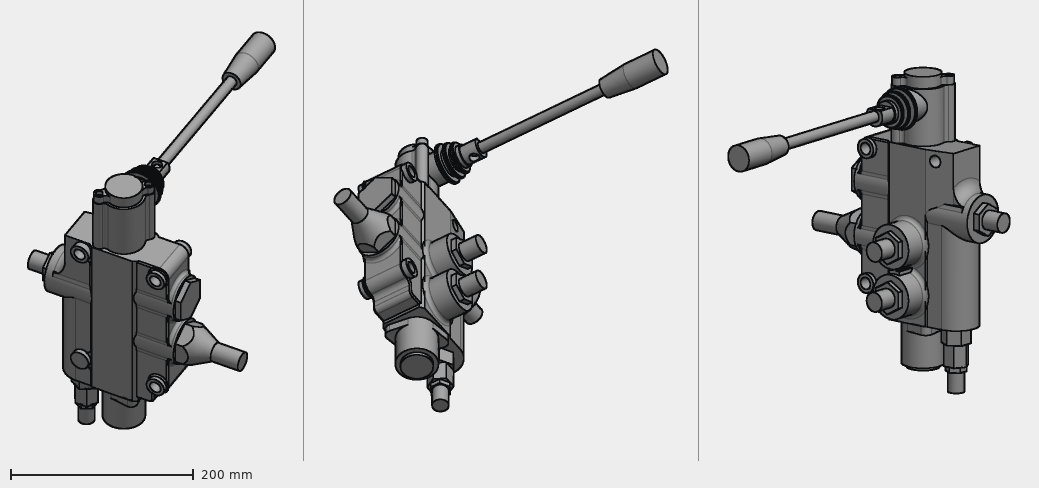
import cadquery as cq
import math


BODY_TOP = 201.0
PANEL_HALF_WIDTH = 25.5
PANEL_HALF_DEPTH = 27.2
PANEL_LEFT_SLOPE_WIDTH = 4.2
PANEL_RIGHT_SLOPE_WIDTH = 5.3

RIGHT_WING_X = 68.3
RIGHT_WING_BOTTOM = 4.5
RIGHT_WING_HALF_DEPTH = 24.8
RIGHT_WING_CHAMFER = 1.8
NOTCH_RADIUS = 6.5

LEFT_WING_X = -61.0
LEFT_WING_FRONT = -23.7
LEFT_WING_BACK = 22.0

RELIEF_X = -46.7
RELIEF_RADIUS = 26.0

LUG_RIGHT_X = 56.5
LUG_LEFT_X = -38.0
LUG_TOP_Z = 189.0
LUG_BOTTOM_Z = 36.5
LUG_RADIUS = 11.0
LUG_CORNER_RADIUS = RIGHT_WING_X - LUG_RIGHT_X
LUG_FLARE_RADIUS = 12.7
LUG_FLARE_HEIGHT = 2.0
LUG_FRONT = -32.2
LUG_BACK = 30.5
LUG_HOLE_RADIUS = 6.7
GUSSET_FRONT = -26.5
GUSSET_REACH = 17.7
GUSSET_SAG = 1.5

LEFT_PORT_Z = 126.5
LEFT_PORT_RADIUS = 27.2
LEFT_PORT_FACE = -84.5
LEFT_PORT_COLLAR = 9.2
LEFT_FAIRING_RADIUS = 14.5
LEFT_RIB_HALF_WIDTH = 10.5
LEFT_RIB_BASE_HALF_WIDTH = 15.5
UPPER_RIGHT_PORT_Z = 148.2
LOWER_RIGHT_PORT_Z = 86.3
RIGHT_PORT_RADIUS = 26.5
RIGHT_PORT_FACE = 76.0
RIGHT_PORT_FLARE = 4.2
RIGHT_RIB_HALF_WIDTH = 9.2
RIGHT_RIB_BASE_HALF_WIDTH = 13.0
PIPE_RADIUS = 11.0
LEFT_PIPE_END = -114.0
LEFT_NUT_CORNER_RADIUS = 18.5
LEFT_NUT_HEIGHT = 7.8
RIGHT_PIPE_END = 148.0
RIGHT_NUT_CORNER_RADIUS = 25.5
PLUG_HEIGHT = 7.0
CONE_START = 85.3
CONE_END = 114.0

WORK_PORT_HEIGHTS = (35.5, 92.0)
WORK_PORT_RADIUS = 25.0
WORK_PORT_FACE = 56.0
WORK_PORT_FLARE = 5.0
WORK_NUT_CORNER_RADIUS = 18.5
WORK_NUT_HEIGHT = 6.5
WORK_PIPE_END = 84.5
WEB_WIDTH = 5.0
WEB_FOOT_WIDTH = 14.0
WEB_FOOT_TOP = 64.0
WEB_BACK = 50.0

HOUSING_TOP = 265.5
HOUSING_RADIUS = 23.7
LOBE_OFFSET = 19.8
LOBE_RADIUS = 7.0
LOBE_FILLET = 5.3
SCREW_HEAD_RADIUS = 6.5
SCREW_HEAD_TOP = 275.0
SCREW_SOCKET_RADIUS = 4.0
SCREW_SOCKET_DEPTH = 5.3
CAP_RADIUS = 20.5
CAP_TOP = 278.8

LEVER_Z = 245.5
BOSS_RADIUS = 18.5
BOSS_END = 36.0
BOOT_NECK_RADIUS = 13.0
BOOT_END = 63.7
BOOT_CORE_RADIUS = 17.5
BOOT_RINGS = ((40.0, 23.7), (48.8, 21.2), (56.5, 18.5))
BOOT_RING_THICKNESS = 4.2
BOOT_RING_RIM = 2.0
SOCKET_RADIUS = 11.3
SOCKET_END = 84.2
SOCKET_FLAT_HEIGHT = 7.5
SOCKET_HOLE_Y = 75.7
SOCKET_HOLE_RADIUS = 5.5
BALL_RADIUS = 6.0
ROD_RADIUS = 6.5
HANDLE_START = 246.5
HANDLE_SHOULDER = 280.2
HANDLE_END = 319.5
HANDLE_START_RADIUS = 11.3
HANDLE_RADIUS = 15.0

FLANGE_HEIGHT = 10.3
BOTTOM_CAP_RADIUS = 23.7
BOTTOM_CAP_END = -50.2
BOTTOM_DISC_RADIUS = 18.0
BOTTOM_DISC_END = -54.5

CARTRIDGE_CORNER_RADIUS = 16.5
CARTRIDGE_END = -19.8
LOCKNUT_CORNER_RADIUS = 14.5
LOCKNUT_END = -45.3
SMALL_NUT_CORNER_RADIUS = 12.0
SMALL_NUT_END = -51.5
STEM_RADIUS = 9.2
STEM_END = -75.0


def round_bar_x(radius, x_start, x_end, z):
    return cq.Workplane("YZ", origin=(x_start, 0, z)).circle(radius).extrude(x_end - x_start)


def round_bar_y(radius, y_start, y_end, x, z):
    length = y_end - y_start
    return cq.Workplane("XZ", origin=(x, y_start, z)).circle(radius).extrude(-length)


def round_bar_z(radius, z_start, z_end, x=0, y=0):
    return cq.Workplane("XY", origin=(x, y, z_start)).circle(radius).extrude(z_end - z_start)


def hexagon(corner_radius, first_angle):
    """Corner points of a hexagon whose first corner lies at first_angle degrees."""
    angles = [math.radians(first_angle + 60 * i) for i in range(6)]
    return [(corner_radius * math.cos(a), corner_radius * math.sin(a)) for a in angles]


def hex_bar_x(corner_radius, x_start, x_end, z):
    plane = cq.Workplane("YZ", origin=(x_start, 0, z))
    return plane.polyline(hexagon(corner_radius, 90)).close().extrude(x_end - x_start)


def hex_bar_z(corner_radius, z_start, z_end, first_angle):
    plane = cq.Workplane("XY", origin=(RELIEF_X, 0, z_start))
    return plane.polyline(hexagon(corner_radius, first_angle)).close().extrude(z_end - z_start)


def make_panel():
    """Raised central block with sloped flanks on the front and the back."""
    left_foot = -PANEL_HALF_WIDTH - PANEL_LEFT_SLOPE_WIDTH
    right_foot = PANEL_HALF_WIDTH + PANEL_RIGHT_SLOPE_WIDTH
    inner_depth = min(-LEFT_WING_FRONT, RIGHT_WING_HALF_DEPTH)
    outline = [
        (-PANEL_HALF_WIDTH, -PANEL_HALF_DEPTH),
        (PANEL_HALF_WIDTH, -PANEL_HALF_DEPTH),
        (right_foot, -inner_depth),
        (right_foot, inner_depth),
        (PANEL_HALF_WIDTH, PANEL_HALF_DEPTH),
        (-PANEL_HALF_WIDTH, PANEL_HALF_DEPTH),
        (left_foot, inner_depth),
        (left_foot, -inner_depth),
    ]
    return cq.Workplane("XY").polyline(outline).close().extrude(BODY_TOP)


def make_right_wing():
    """Plate with rounded lug corners and a notched lower corner."""
    notch_x = LUG_RIGHT_X - NOTCH_RADIUS
    half_diagonal = LUG_CORNER_RADIUS * math.sqrt(0.5)
    lug_bottom = LUG_BOTTOM_Z - LUG_CORNER_RADIUS
    notch_top = lug_bottom - NOTCH_RADIUS
    foot_x = notch_x - NOTCH_RADIUS
    foot_z = RIGHT_WING_BOTTOM + NOTCH_RADIUS
    arc_inset = NOTCH_RADIUS * (1 - math.sqrt(0.5))
    wing = (
        cq.Workplane("XZ", origin=(0, RIGHT_WING_HALF_DEPTH, 0))
        .moveTo(0, BODY_TOP)
        .lineTo(LUG_RIGHT_X, BODY_TOP)
        .threePointArc(
            (LUG_RIGHT_X + half_diagonal, BODY_TOP - LUG_CORNER_RADIUS + half_diagonal),
            (RIGHT_WING_X, BODY_TOP - LUG_CORNER_RADIUS),
        )
        .lineTo(RIGHT_WING_X, LUG_BOTTOM_Z)
        .threePointArc(
            (LUG_RIGHT_X + half_diagonal, LUG_BOTTOM_Z - half_diagonal),
            (LUG_RIGHT_X, lug_bottom),
        )
        .threePointArc((notch_x + arc_inset, lug_bottom - arc_inset), (notch_x, notch_top))
        .lineTo(notch_x, foot_z)
        .threePointArc(
            (notch_x - arc_inset, RIGHT_WING_BOTTOM + arc_inset),
            (foot_x, RIGHT_WING_BOTTOM),
        )
        .lineTo(0, RIGHT_WING_BOTTOM)
        .close()
        .extrude(2 * RIGHT_WING_HALF_DEPTH)
    )
    return wing.faces("<Y or >Y").chamfer(RIGHT_WING_CHAMFER)


def make_left_wing():
    """Upper left block whose back face slopes down from the panel."""
    outline = [
        (0, LEFT_WING_FRONT),
        (LEFT_WING_X, LEFT_WING_FRONT),
        (LEFT_WING_X, LEFT_WING_BACK),
        (-PANEL_HALF_WIDTH, PANEL_HALF_DEPTH),
        (0, PANEL_HALF_DEPTH),
    ]
    plane = cq.Workplane("XY", origin=(0, 0, LEFT_PORT_Z))
    return plane.polyline(outline).close().extrude(BODY_TOP - LEFT_PORT_Z)


def make_relief_column():
    """Round column on the left, joined to the central block by a flat slab."""
    column = round_bar_z(RELIEF_RADIUS, 0, LEFT_PORT_Z, x=RELIEF_X)
    slab = cq.Workplane("XY").box(
        -RELIEF_X, 2 * RELIEF_RADIUS, LEFT_PORT_Z, centered=(False, True, False)
    )
    return column.union(slab.translate((RELIEF_X, 0, 0)))


def make_rib(x_start, x_end, z, port_radius, half_width, base_half_width, base_depth):
    """Bar along X whose sloped flanks blend a port barrel into the body faces."""
    depth = math.sqrt(port_radius**2 - half_width**2)
    outline = [
        (-base_depth, -base_half_width),
        (-depth, -half_width),
        (-depth, half_width),
        (-base_depth, base_half_width),
        (base_depth, base_half_width),
        (depth, half_width),
        (depth, -half_width),
        (base_depth, -base_half_width),
    ]
    plane = cq.Workplane("YZ", origin=(x_start, 0, z))
    return plane.polyline(outline).close().extrude(x_end - x_start)


def make_flare(plane, radius, reach):
    """Concave ring around the plane's X axis, widest at the plane's origin."""
    arc_inset = reach * (1 - math.sqrt(0.5))
    return (
        plane.lineTo(0, radius + reach)
        .threePointArc((arc_inset, radius + arc_inset), (reach, radius))
        .lineTo(reach, 0)
        .close()
        .revolve(360, (0, 0, 0), (1, 0, 0))
    )


def make_left_port():
    collar_end = LEFT_PORT_FACE + LEFT_PORT_COLLAR
    port = round_bar_x(LEFT_PORT_RADIUS, LEFT_PORT_FACE, 0, LEFT_PORT_Z)
    rib = make_rib(
        collar_end, 0, LEFT_PORT_Z, LEFT_PORT_RADIUS,
        LEFT_RIB_HALF_WIDTH, LEFT_RIB_BASE_HALF_WIDTH, -LEFT_WING_FRONT,
    )
    above_axis = cq.Workplane("XY", origin=(collar_end, 0, LEFT_PORT_Z)).box(
        -collar_end, 2 * LEFT_PORT_RADIUS, LEFT_PORT_RADIUS, centered=(False, True, False)
    )
    port = port.union(rib.intersect(above_axis))

    arc_inset = LEFT_FAIRING_RADIUS * math.sqrt(0.5)
    top_radius = LEFT_PORT_RADIUS + LEFT_FAIRING_RADIUS
    wing_side = collar_end + LEFT_FAIRING_RADIUS
    fairing = (
        cq.Workplane("XZ", origin=(0, 0, LEFT_PORT_Z))
        .moveTo(collar_end, 0)
        .lineTo(collar_end, LEFT_PORT_RADIUS)
        .threePointArc((collar_end + arc_inset, top_radius - arc_inset), (wing_side, top_radius))
        .lineTo(wing_side, 0)
        .close()
        .revolve(360, (0, 0, 0), (1, 0, 0))
    )
    block_depth = LEFT_WING_BACK - LEFT_WING_FRONT
    upper_half = cq.Workplane("XY").box(
        LEFT_FAIRING_RADIUS, block_depth, top_radius, centered=(False, False, False)
    )
    fairing = fairing.intersect(upper_half.translate((collar_end, LEFT_WING_FRONT, LEFT_PORT_Z)))

    nut_end = LEFT_PORT_FACE - LEFT_NUT_HEIGHT
    nut = hex_bar_x(LEFT_NUT_CORNER_RADIUS, nut_end, LEFT_PORT_FACE, LEFT_PORT_Z)
    pipe = round_bar_x(PIPE_RADIUS, LEFT_PIPE_END, LEFT_PORT_FACE, LEFT_PORT_Z)
    return port.union(fairing).union(nut).union(pipe)


def make_right_port(z):
    barrel = round_bar_x(RIGHT_PORT_RADIUS, 0, RIGHT_PORT_FACE, z)
    rib = make_rib(
        0, RIGHT_WING_X, z, RIGHT_PORT_RADIUS,
        RIGHT_RIB_HALF_WIDTH, RIGHT_RIB_BASE_HALF_WIDTH, RIGHT_WING_HALF_DEPTH,
    )
    flare_plane = cq.Workplane("XZ", origin=(RIGHT_WING_X, 0, z))
    flare = make_flare(flare_plane, RIGHT_PORT_RADIUS, RIGHT_PORT_FLARE)
    wing_depth = cq.Workplane("XY", origin=(RIGHT_WING_X, 0, z)).box(
        2 * RIGHT_PORT_FLARE, 2 * RIGHT_WING_HALF_DEPTH, 4 * RIGHT_PORT_RADIUS
    )
    return barrel.union(rib).union(flare.intersect(wing_depth))


def make_plug():
    plug_end = RIGHT_PORT_FACE + PLUG_HEIGHT
    return hex_bar_x(RIGHT_NUT_CORNER_RADIUS, RIGHT_PORT_FACE, plug_end, UPPER_RIGHT_PORT_Z)


def make_reducer():
    """Hexagonal fitting turned down to a cone, with a pipe on its end."""
    outline = [
        (RIGHT_PORT_FACE, 0),
        (RIGHT_PORT_FACE, RIGHT_NUT_CORNER_RADIUS),
        (CONE_START, RIGHT_NUT_CORNER_RADIUS),
        (CONE_END, PIPE_RADIUS),
        (CONE_END, 0),
    ]
    cone = (
        cq.Workplane("XZ", origin=(0, 0, LOWER_RIGHT_PORT_Z))
        .polyline(outline)
        .close()
        .revolve(360, (0, 0, 0), (1, 0, 0))
    )
    hexagonal = hex_bar_x(RIGHT_NUT_CORNER_RADIUS, RIGHT_PORT_FACE, CONE_END, LOWER_RIGHT_PORT_Z)
    pipe = round_bar_x(PIPE_RADIUS, RIGHT_PORT_FACE, RIGHT_PIPE_END, LOWER_RIGHT_PORT_Z)
    return cone.intersect(hexagonal).union(pipe)


def make_work_port(z):
    barrel = round_bar_y(WORK_PORT_RADIUS, 0, WORK_PORT_FACE, 0, z)
    flare_plane = cq.Workplane("YZ", origin=(0, PANEL_HALF_DEPTH, z))
    flare = make_flare(flare_plane, WORK_PORT_RADIUS, WORK_PORT_FLARE)
    nut = (
        cq.Workplane("XZ", origin=(0, WORK_PORT_FACE, z))
        .polyline(hexagon(WORK_NUT_CORNER_RADIUS, 90))
        .close()
        .extrude(-WORK_NUT_HEIGHT)
    )
    pipe = round_bar_y(PIPE_RADIUS, WORK_PORT_FACE, WORK_PIPE_END, 0, z)
    return barrel.union(flare).union(nut).union(pipe)


def make_work_port_web():
    """Thin web between the work ports on a wider foot over the lower one."""
    low, high = WORK_PORT_HEIGHTS
    plane = cq.Workplane("XY", origin=(0, 0, low))
    web = plane.box(WEB_WIDTH, WEB_BACK, high - low, centered=(True, False, False))
    foot = plane.box(WEB_FOOT_WIDTH, WEB_BACK, WEB_FOOT_TOP - low, centered=(True, False, False))
    return web.union(foot)


def make_flared_lug(z):
    """Lug on the right wing: flared at the front face, plain at the back."""
    flare_start = -RIGHT_WING_HALF_DEPTH
    lug = round_bar_y(LUG_RADIUS, LUG_FRONT, LUG_BACK, LUG_RIGHT_X, z)
    flare = (
        cq.Workplane("XZ", origin=(LUG_RIGHT_X, flare_start, z))
        .circle(LUG_FLARE_RADIUS)
        .workplane(offset=LUG_FLARE_HEIGHT)
        .circle(LUG_RADIUS)
        .loft()
    )
    return lug.union(flare)


def make_gusset(lug_z, side):
    """Curved web at the panel level between a left lug and the panel edge."""
    panel_edge = -PANEL_HALF_WIDTH
    tip = lug_z + side * GUSSET_REACH
    lug_edge_z = lug_z + side * LUG_RADIUS * math.sqrt(0.75)
    return (
        cq.Workplane("XZ", origin=(0, GUSSET_FRONT, 0))
        .moveTo(LUG_LEFT_X, lug_z)
        .lineTo(LUG_LEFT_X + LUG_RADIUS / 2, lug_edge_z)
        .threePointArc((panel_edge - GUSSET_SAG, (lug_edge_z + tip) / 2), (panel_edge, tip))
        .lineTo(panel_edge, lug_z)
        .close()
        .extrude(GUSSET_FRONT)
    )


def make_left_lugs():
    lugs = round_bar_y(LUG_RADIUS, LUG_FRONT, 0, LUG_LEFT_X, LUG_TOP_Z)
    lugs = lugs.union(round_bar_y(LUG_RADIUS, LUG_FRONT, 0, LUG_LEFT_X, LUG_BOTTOM_Z))
    for lug_z, side in ((LUG_TOP_Z, -1), (LUG_BOTTOM_Z, 1), (LUG_BOTTOM_Z, -1)):
        lugs = lugs.union(make_gusset(lug_z, side))
    return lugs


def make_lobed_bar(radius, lobe_radius, z_start, z_end):
    """Round bar with two lobes on the XY diagonal, each blended in by concave arcs."""
    lobe_distance = LOBE_OFFSET * math.sqrt(2)
    to_blend = radius + LOBE_FILLET
    blend_to_lobe = lobe_radius + LOBE_FILLET
    cosine_sum = to_blend**2 + lobe_distance**2 - blend_to_lobe**2
    blend_cosine = cosine_sum / (2 * to_blend * lobe_distance)
    blend_angle = math.acos(blend_cosine)
    blend_x = to_blend * blend_cosine
    blend_y = to_blend * math.sin(blend_angle)
    lobe_angle = math.atan2(-blend_y, lobe_distance - blend_x)
    middle_angle = (blend_angle - math.pi + lobe_angle) / 2

    def blend_point(angle):
        return (blend_x + LOBE_FILLET * math.cos(angle), blend_y + LOBE_FILLET * math.sin(angle))

    def mirrored(point):
        return (point[0], -point[1])

    on_bar = blend_point(blend_angle - math.pi)
    on_arc = blend_point(middle_angle)
    on_lobe = blend_point(lobe_angle)
    neck = (
        cq.Workplane("XY", origin=(0, 0, z_start))
        .lineTo(*on_bar)
        .threePointArc(on_arc, on_lobe)
        .lineTo(lobe_distance, 0)
        .lineTo(*mirrored(on_lobe))
        .threePointArc(mirrored(on_arc), mirrored(on_bar))
        .close()
        .extrude(z_end - z_start)
    )
    lobe = neck.union(round_bar_z(lobe_radius, z_start, z_end, x=lobe_distance))
    bar = round_bar_z(radius, z_start, z_end)
    for angle in (45, 225):
        bar = bar.union(lobe.rotate((0, 0, 0), (0, 0, 1), angle))
    return bar


def make_spool_housing():
    """Lobed housing under a smaller lobed cap with screw sockets and a raised disc."""
    housing = make_lobed_bar(HOUSING_RADIUS, LOBE_RADIUS, BODY_TOP, HOUSING_TOP)
    cap = make_lobed_bar(CAP_RADIUS, SCREW_HEAD_RADIUS, HOUSING_TOP, SCREW_HEAD_TOP)
    housing = housing.union(cap).union(round_bar_z(CAP_RADIUS, HOUSING_TOP, CAP_TOP))
    socket_bottom = SCREW_HEAD_TOP - SCREW_SOCKET_DEPTH
    for place in (-LOBE_OFFSET, LOBE_OFFSET):
        socket = round_bar_z(SCREW_SOCKET_RADIUS, socket_bottom, SCREW_HEAD_TOP, place, place)
        housing = housing.cut(socket)
    return housing


def make_boot():
    boot = round_bar_y(BOSS_RADIUS, 0, BOSS_END, 0, LEVER_Z)
    boot = boot.union(round_bar_y(BOOT_NECK_RADIUS, BOSS_END, BOOT_END, 0, LEVER_Z))
    last_ring_y = BOOT_RINGS[-1][0]
    core = (
        cq.Workplane("XZ", origin=(0, BOSS_END, LEVER_Z))
        .circle(BOOT_CORE_RADIUS)
        .workplane(offset=BOSS_END - last_ring_y)
        .circle(BOOT_NECK_RADIUS)
        .loft()
    )
    boot = boot.union(core)
    for ring_y, ring_radius in BOOT_RINGS:
        start = ring_y - BOOT_RING_THICKNESS / 2
        ring = round_bar_y(ring_radius, start, start + BOOT_RING_THICKNESS, 0, LEVER_Z)
        boot = boot.union(ring.edges().chamfer((BOOT_RING_THICKNESS - BOOT_RING_RIM) / 2))
    return boot


def make_lever():
    """Socket with a cross hole and ball, a straight rod and a tapered handle."""
    socket = round_bar_y(SOCKET_RADIUS, BOSS_END, SOCKET_END, 0, LEVER_Z)
    above_flat = cq.Workplane("XY").box(
        2 * SOCKET_RADIUS, SOCKET_END - BOOT_END, SOCKET_RADIUS, centered=(True, False, False)
    )
    socket = socket.cut(above_flat.translate((0, BOOT_END, LEVER_Z + SOCKET_FLAT_HEIGHT)))
    rod = round_bar_y(ROD_RADIUS, BOOT_END, HANDLE_START, 0, LEVER_Z)
    cross_hole = round_bar_z(
        SOCKET_HOLE_RADIUS, LEVER_Z - SOCKET_RADIUS, LEVER_Z + SOCKET_RADIUS, y=SOCKET_HOLE_Y
    )
    ball = cq.Workplane("XY", origin=(0, SOCKET_HOLE_Y, LEVER_Z)).sphere(BALL_RADIUS)
    handle_outline = [
        (0, HANDLE_START),
        (HANDLE_START_RADIUS, HANDLE_START),
        (HANDLE_RADIUS, HANDLE_SHOULDER),
        (HANDLE_RADIUS, HANDLE_END),
        (0, HANDLE_END),
    ]
    handle = (
        cq.Workplane("XY", origin=(0, 0, LEVER_Z))
        .polyline(handle_outline)
        .close()
        .revolve(360, (0, 0, 0), (0, 1, 0))
    )
    return socket.union(rod).cut(cross_hole).union(ball).union(handle)


def make_bottom_cap():
    """Diamond flange with rounded tips, a round cap and a thin end disc."""
    lobe_distance = LOBE_OFFSET * math.sqrt(2)
    tangent_angle = math.acos((BOTTOM_CAP_RADIUS - LOBE_RADIUS) / lobe_distance)
    across = math.sin(tangent_angle)
    along = math.cos(tangent_angle)
    outline = []
    for side in (1, -1):
        lobe_point = (side * (lobe_distance + LOBE_RADIUS * along), side * LOBE_RADIUS * across)
        cap_point = (side * BOTTOM_CAP_RADIUS * along, side * BOTTOM_CAP_RADIUS * across)
        mirrored_lobe = (lobe_point[0], -lobe_point[1])
        mirrored_cap = (cap_point[0], -cap_point[1])
        outline += [mirrored_cap, mirrored_lobe, lobe_point, cap_point]
    flange = cq.Workplane("XY").polyline(outline).close().extrude(-FLANGE_HEIGHT)
    for side in (1, -1):
        flange = flange.union(
            round_bar_z(LOBE_RADIUS, -FLANGE_HEIGHT, 0, x=side * lobe_distance)
        )
    flange = flange.rotate((0, 0, 0), (0, 0, 1), -45)
    cap = round_bar_z(BOTTOM_CAP_RADIUS, BOTTOM_CAP_END, 0)
    disc = round_bar_z(BOTTOM_DISC_RADIUS, BOTTOM_DISC_END, BOTTOM_CAP_END)
    return flange.union(cap).union(disc)


def make_relief_cartridge():
    """Stack of hexagons and an adjusting stem below the relief column."""
    cartridge = hex_bar_z(CARTRIDGE_CORNER_RADIUS, CARTRIDGE_END, 0, 90)
    locknut = hex_bar_z(LOCKNUT_CORNER_RADIUS, LOCKNUT_END, CARTRIDGE_END, 0)
    small_nut = hex_bar_z(SMALL_NUT_CORNER_RADIUS, SMALL_NUT_END, LOCKNUT_END, 90)
    stem = round_bar_z(STEM_RADIUS, STEM_END, SMALL_NUT_END, x=RELIEF_X)
    return cartridge.union(locknut).union(small_nut).union(stem)


def make_lug_holes():
    """Through holes; the lower left lug stays solid."""
    span = 2 * PANEL_HALF_DEPTH
    holes = round_bar_y(LUG_HOLE_RADIUS, -span, span, LUG_RIGHT_X, LUG_TOP_Z)
    holes = holes.union(round_bar_y(LUG_HOLE_RADIUS, -span, span, LUG_RIGHT_X, LUG_BOTTOM_Z))
    return holes.union(round_bar_y(LUG_HOLE_RADIUS, -span, span, LUG_LEFT_X, LUG_TOP_Z))


pieces = [
    make_right_wing(),
    make_left_wing(),
    make_relief_column(),
    make_left_port(),
    make_right_port(UPPER_RIGHT_PORT_Z),
    make_right_port(LOWER_RIGHT_PORT_Z),
    make_plug(),
    make_reducer(),
    make_work_port_web(),
    make_flared_lug(LUG_TOP_Z),
    make_flared_lug(LUG_BOTTOM_Z),
    make_left_lugs(),
    make_spool_housing(),
    make_boot(),
    make_lever(),
    make_bottom_cap(),
    make_relief_cartridge(),
]
pieces += [make_work_port(z) for z in WORK_PORT_HEIGHTS]

result = make_panel()
for piece in pieces:
    result = result.union(piece)
result = result.cut(make_lug_holes())